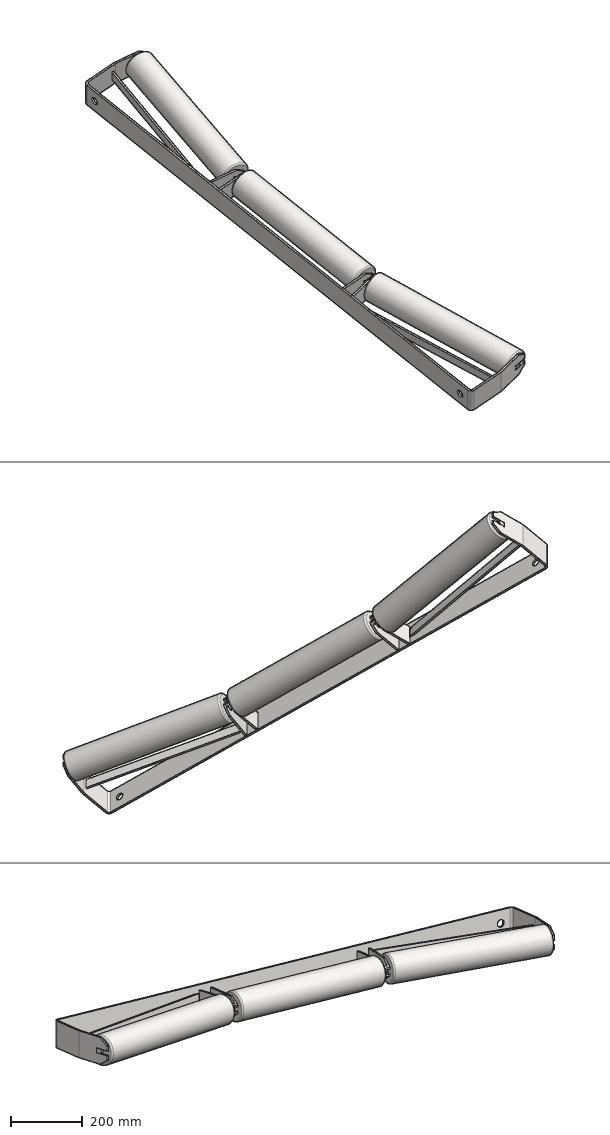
import cadquery as cq
import math

frame_width = 1600.0
frame_height = 80.0
sheet = 6.0
corner_radius = 13.0
trough_angle = 10.0

wing_bend_y = 115.0
tongue_length = 109.0
tip_run = 27.0
tip_rise = 20.0

bolt_hole_inset = 45.0
bolt_hole_diameter = 22.0

roller_diameter = 90.0
roller_length = 502.0
roller_edge = 5.0
shaft_diameter = 20.0
shaft_flat = 14.0
slot_length = 20.0

roller_axis_z = 32.0
middle_axis_y = 100.0
outer_axis_x = -285.0
outer_axis_y = 102.0
outer_end_rise = 6.0

bracket_straight_x = -253.0
bracket_foot_x = -300.0
bracket_top_y = 126.0
bracket_height = 64.0

stay_height = 30.0
stay_wing_y = 104.0
stay_angle = 11.3

side_x = -frame_width / 2
slope = math.radians(trough_angle)
along_tongue = cq.Vector(math.sin(slope), math.cos(slope), 0)
into_frame = cq.Vector(math.cos(slope), -math.sin(slope), 0)
slot_reach = 2 * frame_height


def distance_along_slope(x, y):
    """Level distance of a point from the Z axis, measured square to the left sloping sheets."""
    return x * into_frame.x + y * into_frame.y


axis_stretch = roller_length / math.sqrt(roller_length**2 - outer_end_rise**2)
outer_axis_start = distance_along_slope(outer_axis_x, outer_axis_y)
tongue_outside = distance_along_slope(side_x, wing_bend_y)
sloping_leg_back = distance_along_slope(bracket_foot_x, sheet) + sheet
far_shaft_end = (outer_axis_start - tongue_outside) * axis_stretch - roller_length
near_shaft_end = (sloping_leg_back - outer_axis_start) * axis_stretch
middle_shaft_end = sheet - bracket_straight_x - roller_length / 2


def mirrored(body):
    return body.mirror("YZ")


def outer_roller_plane():
    level_length = math.sqrt(roller_length**2 - outer_end_rise**2)
    axis = cq.Vector(-level_length * math.cos(slope), level_length * math.sin(slope), outer_end_rise)
    origin = cq.Vector(outer_axis_x, outer_axis_y, roller_axis_z)
    slot_normal = axis.cross(along_tongue)
    return cq.Plane(origin, xDir=axis, normal=slot_normal)


def middle_roller_plane():
    origin = cq.Vector(-roller_length / 2, middle_axis_y, roller_axis_z)
    return cq.Plane(origin, xDir=(1, 0, 0), normal=(0, 0, 1))


def shaft_slot(plane, start, end):
    """Cutter for an open slot around the shaft between two distances along the roller axis."""
    radius = shaft_diameter / 2
    return (
        cq.Workplane(plane)
        .center((start + end) / 2, (slot_reach - radius) / 2)
        .box(end - start, slot_reach + radius, shaft_flat)
    )


def roller(plane, first_end, last_end):
    """Drum and flatted shaft in one; the shaft stands out by first_end and last_end."""
    face = cq.Workplane(cq.Plane(plane.origin, xDir=plane.zDir, normal=plane.xDir))
    drum = face.circle(roller_diameter / 2).extrude(roller_length).edges().fillet(roller_edge)
    shaft_length = first_end + roller_length + last_end
    shaft = face.workplane(offset=-first_end).circle(shaft_diameter / 2).extrude(shaft_length)
    flats = (
        cq.Workplane(plane)
        .center(shaft_length / 2 - first_end, 0)
        .box(shaft_length, shaft_diameter, shaft_flat)
    )
    return drum.union(shaft.intersect(flats))


def bevelled_plate(plane, length, height, depth):
    """Plate running along the plane's X axis from its origin, with both far corners bevelled."""
    shoulder = length - tip_run
    return (
        cq.Workplane(plane)
        .polyline([
            (0, 0),
            (0, height),
            (shoulder, height),
            (length, height - tip_rise),
            (length, tip_rise),
            (shoulder, 0),
        ])
        .close()
        .extrude(depth)
    )


def frame(shaft_slots):
    """Front plate with a wing at each side; each wing ends in a tongue slotted for a shaft."""
    channel = (
        cq.Workplane()
        .box(frame_width, wing_bend_y, frame_height, centered=(True, False, False))
        .edges("|Z and <Y")
        .fillet(corner_radius)
        .faces("<Z or >Z or >Y")
        .shell(-sheet)
    )
    bolt_holes = (
        cq.Workplane("XZ")
        .pushPoints([(side * (side_x + bolt_hole_inset), frame_height / 2) for side in (1, -1)])
        .circle(bolt_hole_diameter / 2)
        .extrude(-sheet)
    )
    tongue_plane = cq.Plane((side_x, wing_bend_y, 0), xDir=along_tongue, normal=into_frame)
    left_tongue = bevelled_plate(tongue_plane, tongue_length, frame_height, sheet)
    body = channel.union(left_tongue).union(mirrored(left_tongue)).cut(bolt_holes)
    for cutter in shaft_slots:
        body = body.cut(cutter)
    return body


def bracket(shaft_slots):
    """Left bracket: a folded sheet with a straight leg, a web and a leg square to the outer roller."""
    lean = math.tan(slope)
    sloping_top_x = bracket_foot_x + lean * (bracket_top_y - sheet)
    sheet_across_slope = sheet / math.cos(slope)
    under_web_y = bracket_top_y - sheet
    under_web_x = bracket_foot_x + sheet_across_slope + lean * (under_web_y - sheet)
    body = (
        cq.Workplane()
        .polyline([
            (bracket_foot_x, sheet),
            (sloping_top_x, bracket_top_y),
            (bracket_straight_x, bracket_top_y),
            (bracket_straight_x, sheet),
            (bracket_straight_x - sheet, sheet),
            (bracket_straight_x - sheet, under_web_y),
            (under_web_x, under_web_y),
            (bracket_foot_x + sheet_across_slope, sheet),
        ])
        .close()
        .extrude(bracket_height)
    )
    side_plane = cq.Plane((bracket_foot_x, 0, 0), xDir=(0, 1, 0), normal=(1, 0, 0))
    bracket_width = bracket_straight_x - bracket_foot_x
    side_outline = bevelled_plate(side_plane, bracket_top_y, bracket_height, bracket_width)
    body = body.intersect(side_outline)
    for cutter in shaft_slots:
        body = body.cut(cutter)
    return body


def stay():
    """Left flat bar from the inside of the wing to the front plate, ending at the bracket foot."""
    wing_face_x = side_x + sheet
    angle = math.radians(stay_angle)
    fall = math.tan(angle)
    half_sheet = sheet / math.cos(angle) / 2
    upper_y = stay_wing_y + half_sheet
    lower_y = stay_wing_y - half_sheet
    return (
        cq.Workplane(origin=(0, 0, (frame_height - stay_height) / 2))
        .polyline([
            (wing_face_x, lower_y),
            (wing_face_x, upper_y),
            (bracket_foot_x, upper_y - (bracket_foot_x - wing_face_x) * fall),
            (bracket_foot_x, sheet),
            (wing_face_x + (lower_y - sheet) / fall, sheet),
        ])
        .close()
        .extrude(stay_height)
    )


outer_plane = outer_roller_plane()
middle_plane = middle_roller_plane()

left_roller = roller(outer_plane, near_shaft_end, far_shaft_end)
middle_roller = roller(middle_plane, middle_shaft_end, middle_shaft_end)
outer_rollers = [left_roller, mirrored(left_roller)]

left_stay = stay()
stays = [left_stay, mirrored(left_stay)]

far_slot = shaft_slot(outer_plane, roller_length, roller_length + slot_length)
near_slot = shaft_slot(outer_plane, -slot_length, 0)
middle_slot = shaft_slot(middle_plane, -slot_length, 0)

left_bracket = bracket([near_slot, middle_slot])
brackets = [left_bracket, mirrored(left_bracket)]

main_frame = frame([far_slot, mirrored(far_slot)])

bodies = [main_frame, middle_roller, *outer_rollers, *brackets, *stays]
result = cq.Compound.makeCompound([body.val() for body in bodies])